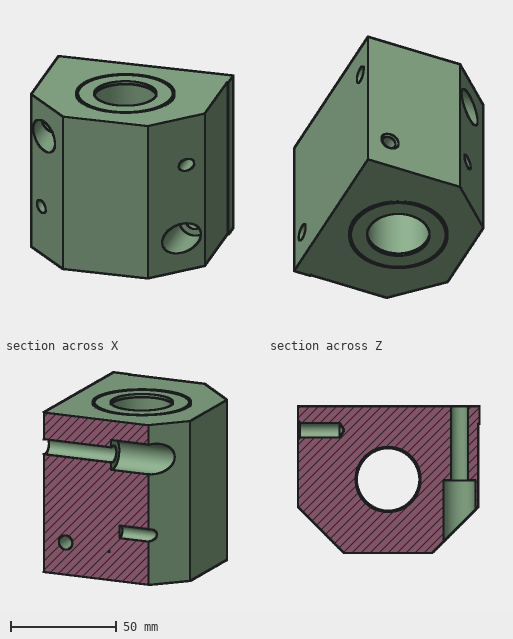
import cadquery as cq
import math

overall_width = 86.5
depth = 70.0
height = 79.0
ledge_step = 0.6
ledge_depth = 8.5
corner_cut = 22.0
body_width = overall_width - ledge_step
mid_x = body_width / 2
mid_z = height / 2

bore_y = 35.0
seat_diameter = 47.0
groove_width = 0.95
groove_depth = 0.5
lip_diameter = 29.75
lip_thickness = 1.65
bore_diameter = 30.8

screw_offset_x = 34.0
screw_offset_z = 22.5
screw_diameter = 8.1
counterbore_diameter = 15.0
counterbore_floor_y = 34.6
pin_offset_x = 35.9
pin_offset_z = 15.0
pin_diameter = 6.0
pin_floor_y = 30.0

port_y = depth - 11.5
port_z = 16.0
port_diameter = 6.8
port_mouth_diameter = 8.9
port_depth = 19.9
port_tip_angle = 118.0


def make_block():
    return (
        cq.Workplane("XY")
        .moveTo(corner_cut, 0)
        .lineTo(body_width - corner_cut, 0)
        .lineTo(body_width, corner_cut)
        .lineTo(body_width, depth - ledge_depth)
        .lineTo(overall_width, depth - ledge_depth)
        .lineTo(overall_width, depth)
        .lineTo(0, depth)
        .lineTo(0, corner_cut)
        .close()
        .extrude(height)
    )


def revolve_about_bore(profile):
    """Turn a closed (radius, z) profile about the bore axis."""
    return (
        cq.Workplane("XZ")
        .polyline(profile)
        .close()
        .revolve(360, (0, 0, 0), (0, 1, 0))
        .translate((mid_x, bore_y, 0))
    )


def make_bore():
    """Through bore with a narrower lip at each end."""
    lip_radius = lip_diameter / 2
    bore_radius = bore_diameter / 2
    return revolve_about_bore([
        (0, 0),
        (lip_radius, 0),
        (lip_radius, lip_thickness),
        (bore_radius, lip_thickness),
        (bore_radius, height - lip_thickness),
        (lip_radius, height - lip_thickness),
        (lip_radius, height),
        (0, height),
    ])


def make_bushing_groove(face_z, inner_z):
    """V-groove with a straight outer wall, cut from face_z to inner_z."""
    seat_radius = seat_diameter / 2
    return revolve_about_bore([
        (seat_radius - groove_width, face_z),
        (seat_radius, face_z),
        (seat_radius, inner_z),
    ])


def make_front_hole(x, z, diameter, end_y):
    """Cylinder along Y from the front plane to end_y."""
    return cq.Workplane("XZ").center(x, z).circle(diameter / 2).extrude(-end_y)


def make_port():
    """Blind drilled hole along X with a chamfered mouth and a drill point."""
    radius = port_diameter / 2
    tip_length = radius / math.tan(math.radians(port_tip_angle / 2))
    mouth_radius = port_mouth_diameter / 2
    return (
        cq.Workplane("XY")
        .polyline([
            (0, 0),
            (0, mouth_radius),
            (mouth_radius - radius, radius),
            (port_depth, radius),
            (port_depth + tip_length, 0),
        ])
        .close()
        .revolve(360, (0, 0, 0), (1, 0, 0))
        .translate((0, port_y, port_z))
    )


result = make_block().cut(make_bore()).cut(make_port())
result = result.cut(make_bushing_groove(0, groove_depth))
result = result.cut(make_bushing_groove(height, height - groove_depth))
for side in (-1, 1):
    screw_x = mid_x + side * screw_offset_x
    screw_z = mid_z - side * screw_offset_z
    pin_x = mid_x + side * pin_offset_x
    pin_z = mid_z + side * pin_offset_z
    result = result.cut(make_front_hole(screw_x, screw_z, screw_diameter, depth))
    result = result.cut(make_front_hole(screw_x, screw_z, counterbore_diameter, counterbore_floor_y))
    result = result.cut(make_front_hole(pin_x, pin_z, pin_diameter, pin_floor_y))